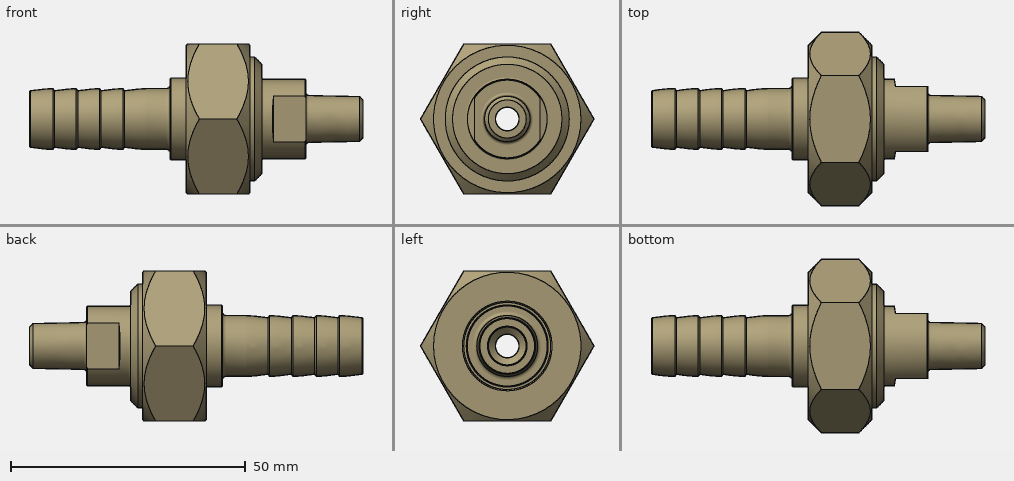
import cadquery as cq
import math

LENGTH = 71.0

COLLAR_START = 29.95
NUT_START = 33.4
NUT_LENGTH = 13.55
NUT_END = NUT_START + NUT_LENGTH
WEB_THICKNESS = 2.5
FLANGE_START = NUT_START + WEB_THICKNESS
FLANGE_THICKNESS = 3.2
JOINT = FLANGE_START + FLANGE_THICKNESS
RIM_END = 49.5
HUB_END = 58.85

TAIL_BORE_RADIUS = 8.0 / 2
TAIL_BORE_CHAMFER = 0.2
BARB_COUNT = 5
BARB_PITCH = 5.0
BARB_RETURN = 0.35
BARB_ROOT_RADIUS = 6.0
BARB_CREST_RADIUS = 13.0 / 2
BARB_RISE = BARB_CREST_RADIUS - BARB_ROOT_RADIUS
BARB_ARC_RADIUS = (BARB_PITCH**2 + BARB_RISE**2) / (2 * BARB_RISE)
TIP_CHAMFER = 0.2
TAIL_FILLET = 0.85
COLLAR_RADIUS = 17.5 / 2
COLLAR_CHAMFER = 0.2
FLANGE_RADIUS = 23.5 / 2

ACROSS_FLATS = 32.0
NUT_CORNER_RADIUS = ACROSS_FLATS / math.sqrt(3)
NUT_FACE_RADIUS = 15.7
NUT_BORE_RADIUS = 18.5 / 2
NUT_BORE_CHAMFER = 0.3
THREAD_RADIUS = 24.15 / 2

STEM_BORE_RADIUS = 5.0 / 2
RIM_RADIUS = 26.4 / 2
RIM_CHAMFER = 1.55
HUB_RADIUS = 17.0 / 2
HUB_FILLET = 0.35
HUB_CHAMFER = 0.2
FLAT_START = 52.0
FLAT_RUNOUT = 0.3
FLAT_HALF_WIDTH = 6.95
STEM_FILLET = 0.6
STEM_ROOT_RADIUS = 5.05
STEM_TIP_RADIUS = 4.8
STEM_TIP_CHAMFER = 0.8


def revolve_about_x(profile):
    """Turn a closed profile, drawn as X against radius, into a solid."""
    return profile.close().revolve(360, (0, 0, 0), (1, 0, 0))


def make_hose_tail():
    profile = (
        cq.Workplane("XY")
        .moveTo(0, TAIL_BORE_RADIUS + TAIL_BORE_CHAMFER)
        .lineTo(0, BARB_ROOT_RADIUS - TIP_CHAMFER)
        .lineTo(TIP_CHAMFER, BARB_ROOT_RADIUS)
    )
    for barb in range(1, BARB_COUNT):
        crest_end = barb * BARB_PITCH
        profile = (
            profile.radiusArc((crest_end, BARB_CREST_RADIUS), BARB_ARC_RADIUS)
            .lineTo(crest_end + BARB_RETURN, BARB_ROOT_RADIUS)
        )
    profile = (
        profile.radiusArc((BARB_COUNT * BARB_PITCH, BARB_CREST_RADIUS), BARB_ARC_RADIUS)
        .lineTo(COLLAR_START - TAIL_FILLET, BARB_CREST_RADIUS)
        .radiusArc((COLLAR_START, BARB_CREST_RADIUS + TAIL_FILLET), -TAIL_FILLET)
        .lineTo(COLLAR_START, COLLAR_RADIUS - COLLAR_CHAMFER)
        .lineTo(COLLAR_START + COLLAR_CHAMFER, COLLAR_RADIUS)
        .lineTo(FLANGE_START, COLLAR_RADIUS)
        .lineTo(FLANGE_START, FLANGE_RADIUS)
        .lineTo(JOINT, FLANGE_RADIUS)
        .lineTo(JOINT, TAIL_BORE_RADIUS)
        .lineTo(TAIL_BORE_CHAMFER, TAIL_BORE_RADIUS)
    )
    return revolve_about_x(profile)


def make_nut():
    hexagon = (
        cq.Workplane("YZ", origin=(NUT_START, 0, 0))
        .polygon(6, 2 * NUT_CORNER_RADIUS)
        .extrude(NUT_LENGTH)
    )
    chamfer = NUT_CORNER_RADIUS - NUT_FACE_RADIUS
    envelope = revolve_about_x(
        cq.Workplane("XY")
        .moveTo(NUT_START, NUT_BORE_RADIUS + NUT_BORE_CHAMFER)
        .lineTo(NUT_START, NUT_FACE_RADIUS)
        .lineTo(NUT_START + chamfer, NUT_CORNER_RADIUS)
        .lineTo(NUT_END - chamfer, NUT_CORNER_RADIUS)
        .lineTo(NUT_END, NUT_FACE_RADIUS)
        .lineTo(NUT_END, THREAD_RADIUS)
        .lineTo(FLANGE_START, THREAD_RADIUS)
        .lineTo(FLANGE_START, NUT_BORE_RADIUS)
        .lineTo(NUT_START + NUT_BORE_CHAMFER, NUT_BORE_RADIUS)
    )
    return hexagon.intersect(envelope).solids()


def make_flat_cutter(side):
    """Material removed for the wrench flat on the +Y (side=1) or -Y (side=-1) face of the hub."""
    outer = HUB_RADIUS + 0.7
    lean = FLAT_RUNOUT * (outer - FLAT_HALF_WIDTH) / (HUB_RADIUS - FLAT_HALF_WIDTH)
    return (
        cq.Workplane("XY")
        .moveTo(FLAT_START, side * FLAT_HALF_WIDTH)
        .lineTo(FLAT_START - lean, side * outer)
        .lineTo(HUB_END, side * outer)
        .lineTo(HUB_END, side * FLAT_HALF_WIDTH)
        .close()
        .extrude(HUB_RADIUS, both=True)
    )


def make_stem_body():
    bore_cone = TAIL_BORE_RADIUS - STEM_BORE_RADIUS
    body = revolve_about_x(
        cq.Workplane("XY")
        .moveTo(JOINT, TAIL_BORE_RADIUS)
        .lineTo(JOINT, THREAD_RADIUS)
        .lineTo(NUT_END, THREAD_RADIUS)
        .lineTo(NUT_END, RIM_RADIUS)
        .lineTo(RIM_END - RIM_CHAMFER, RIM_RADIUS)
        .lineTo(RIM_END, RIM_RADIUS - RIM_CHAMFER)
        .lineTo(RIM_END, HUB_RADIUS + HUB_FILLET)
        .radiusArc((RIM_END + HUB_FILLET, HUB_RADIUS), -HUB_FILLET)
        .lineTo(HUB_END - HUB_CHAMFER, HUB_RADIUS)
        .lineTo(HUB_END, HUB_RADIUS - HUB_CHAMFER)
        .lineTo(HUB_END, STEM_ROOT_RADIUS + STEM_FILLET)
        .radiusArc((HUB_END + STEM_FILLET, STEM_ROOT_RADIUS), -STEM_FILLET)
        .lineTo(LENGTH - STEM_TIP_CHAMFER, STEM_TIP_RADIUS)
        .lineTo(LENGTH, STEM_TIP_RADIUS - STEM_TIP_CHAMFER)
        .lineTo(LENGTH, STEM_BORE_RADIUS)
        .lineTo(JOINT + bore_cone, STEM_BORE_RADIUS)
    )
    for side in (1, -1):
        body = body.cut(make_flat_cutter(side))
    return body.solids()


hose_tail = make_hose_tail()
nut = make_nut()
stem_body = make_stem_body()

result = cq.Compound.makeCompound([hose_tail.val(), nut.val(), stem_body.val()])